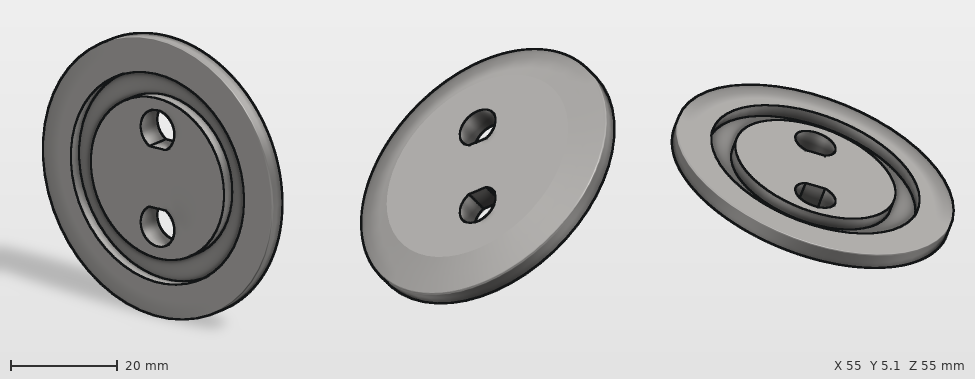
import cadquery as cq
import math

disc_radius = 27.5
disc_thickness = 5.1
back_face_radius = 20.3
taper_angle = 15.0
taper_edge_round = 0.5
front_edge_round = 0.3

groove_outer_radius = 20.65
groove_inner_radius = 15.875
groove_depth = 2.5

hole_radius = 4.0
hole_offset = 9.5
hole_flat_offset = 6.0

taper_drop = (disc_radius - back_face_radius) * math.tan(math.radians(taper_angle))
rim_thickness = disc_thickness - taper_drop


def extrude_towards_back(sketch, length):
    """Extrude an XZ-plane sketch from the front face along +Y."""
    return sketch.extrude(-length)


def make_disc():
    """Disc with a conical back border and rounded rim edges."""
    profile = (
        cq.Workplane("XY")
        .polyline([
            (0, 0),
            (disc_radius, 0),
            (disc_radius, rim_thickness),
            (back_face_radius, disc_thickness),
            (0, disc_thickness),
        ])
        .close()
    )
    disc = profile.revolve(360, (0, 0, 0), (0, 1, 0))
    taper_edge = disc.edges("%CIRCLE").edges(">>Y[-2]")
    disc = taper_edge.fillet(taper_edge_round)
    return disc.edges("<Y").fillet(front_edge_round)


def make_groove():
    """Ring removed from the front face."""
    ring = cq.Workplane("XZ").circle(groove_outer_radius).circle(groove_inner_radius)
    return extrude_towards_back(ring, groove_depth)


def make_hole(side):
    """D-shaped hole above (side = 1) or below (side = -1) the disc axis."""
    flat_depth = hole_offset - hole_flat_offset
    flat_half_width = math.sqrt(hole_radius**2 - flat_depth**2)
    flat_z = side * hole_flat_offset
    outline = (
        cq.Workplane("XZ")
        .moveTo(-flat_half_width, flat_z)
        .threePointArc((0, side * (hole_offset + hole_radius)), (flat_half_width, flat_z))
        .close()
    )
    return extrude_towards_back(outline, disc_thickness)


result = make_disc().cut(make_groove())
for side in (1, -1):
    result = result.cut(make_hole(side))